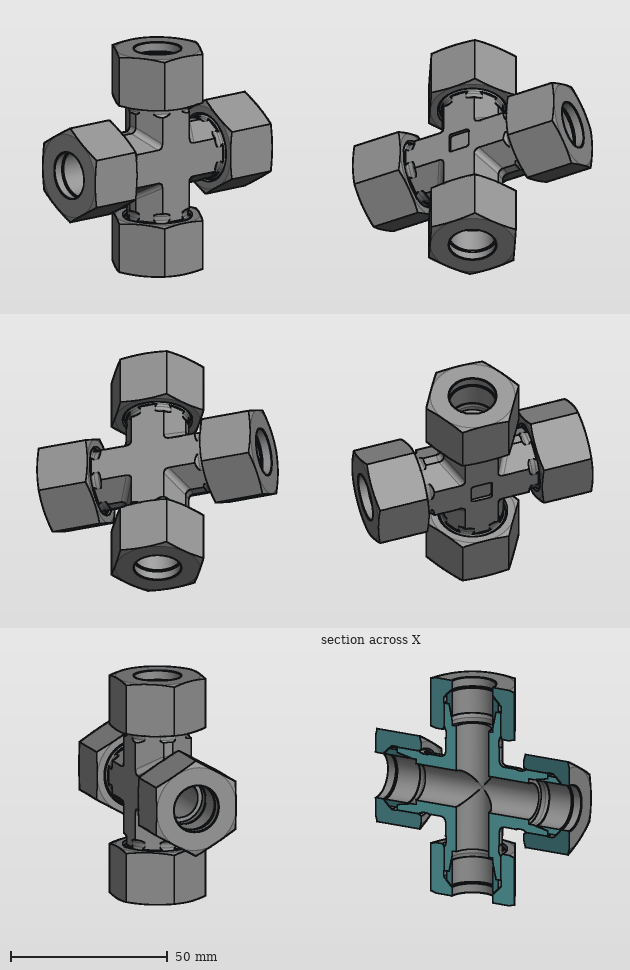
import cadquery as cq
import math

ARM_ANGLES = (0, 90, 180, 270)

TOLERANCE = 0.01

NUT_OUTER_END = 36
NUT_LENGTH = 17.0
NUT_INNER_END = NUT_OUTER_END - NUT_LENGTH
TUBE_STOP = 21.0
BODY_END = 28.0

FLOW_BORE_D = 12.0
TUBE_D = 15.0
TUBE_R = TUBE_D / 2
EDGE_BREAK = 0.2

SEAT_MOUTH_R = 17.3 / 2
SEAT_TAN = math.tan(math.radians(12))
SEAT_BOTTOM = BODY_END - (SEAT_MOUTH_R - TUBE_R) / SEAT_TAN

ARM_ACROSS_FLATS = 19.0
ARM_RIDGE_WIDTH = 20.15
ARM_FILLET = 2.0
RIDGE_FILLET = 1.7

THREAD_MAJOR_R = 22.0 / 2
THREAD_MINOR_R = 20.4 / 2
THREAD_R = (THREAD_MAJOR_R + THREAD_MINOR_R) / 2
RELIEF_R = 19.65 / 2
RELIEF_FILLET = 1.0
RELIEF_START = 16.9
RELIEF_END = 18.2
THREAD_START = NUT_INNER_END
THREAD_START_R = 20.0 / 2
THREAD_BEVEL_TAN = math.tan(math.radians(30))

RECESS_SIZE = 7.05
RECESS_CORNER_R = 1.0
RECESS_DEPTH = 1.0

NUT_ACROSS_FLATS = 27.0
NUT_CHAMFER_ANGLE = 15
NUT_MOUTH_R = 11.15
NUT_BORE_START = 33.0
NUT_CONE_START = NUT_BORE_START - (THREAD_R - TUBE_R)

RING_FRONT = 24.0
RING_SHOULDER_R = 9.7
RING_REAR_CHAMFER = 0.35


def hexagon(across_flats, start, end):
    """Hexagonal prism along Z with two of its flats facing +X and -X."""
    prism = cq.Workplane("XY").workplane(offset=start).polygon(6, across_flats, circumscribed=True)
    return prism.extrude(end - start)


def turned(points):
    """Solid of revolution about Z from (radius, height) points."""
    return cq.Workplane("XZ").polyline(points).close().revolve(360, (0, 0, 0), (0, 1, 0))


def place(arm_part, angle):
    """Turn a part made along +Z onto the arm at the given angle about X."""
    return arm_part.rotate((0, 0, 0), (1, 0, 0), angle)


def hexagonal_cross():
    """Two crossing hexagonal bars with filleted valleys between their sloping flats."""
    bar = hexagon(ARM_ACROSS_FLATS, -THREAD_START, THREAD_START)
    cross = bar.union(place(bar, 90))

    def is_valley(edge):
        middle = edge.Center()
        on_diagonal = abs(abs(middle.y) - abs(middle.z)) < TOLERANCE
        return on_diagonal and abs(middle.y) > TOLERANCE

    return cross.edges().filter(is_valley).fillet(ARM_FILLET)


def ridge_limit():
    """Plus-shaped prism along X that flattens the ridges of the hexagonal bars."""
    vertical = cq.Workplane("XY").box(ARM_ACROSS_FLATS, ARM_RIDGE_WIDTH, 2 * THREAD_START)
    plus = vertical.union(place(vertical, 90))
    half_width = ARM_RIDGE_WIDTH / 2

    def is_inner_corner(edge):
        middle = edge.Center()
        return max(abs(middle.y), abs(middle.z)) < half_width + TOLERANCE

    return plus.edges("|X").filter(is_inner_corner).fillet(RIDGE_FILLET)


def relief_cutter():
    """Ring of material turned away behind the thread, with a rounded inner side and a tapered outer side."""
    side_r = RELIEF_R + RELIEF_FILLET
    side_start = RELIEF_START - RELIEF_FILLET
    outline = (
        cq.Workplane("XZ")
        .moveTo(RELIEF_R, RELIEF_END)
        .lineTo(RELIEF_R, RELIEF_START)
        .radiusArc((side_r, side_start), -RELIEF_FILLET)
        .lineTo(THREAD_MAJOR_R, side_start)
        .lineTo(THREAD_MAJOR_R, THREAD_START)
        .lineTo(THREAD_START_R, THREAD_START)
        .close()
    )
    return outline.revolve(360, (0, 0, 0), (0, 1, 0))


def thread_end():
    """Threaded end of an arm as a plain cylinder with a slender bevel at its root."""
    bevel_length = (THREAD_R - THREAD_START_R) / THREAD_BEVEL_TAN
    return turned([
        (0, THREAD_START),
        (THREAD_START_R, THREAD_START),
        (THREAD_R, THREAD_START + bevel_length),
        (THREAD_R, BODY_END),
        (0, BODY_END),
    ])


def arm_bore():
    """Flow bore, tube socket and sealing cone of one arm."""
    return turned([
        (0, 0),
        (FLOW_BORE_D / 2, 0),
        (FLOW_BORE_D / 2, TUBE_STOP),
        (TUBE_R, TUBE_STOP),
        (TUBE_R, SEAT_BOTTOM),
        (SEAT_MOUTH_R, BODY_END),
        (0, BODY_END),
    ])


def recess_cutter():
    """Rounded square block that cuts the recess into the -X face."""
    block = cq.Workplane("XY").box(2 * RECESS_DEPTH, RECESS_SIZE, RECESS_SIZE)
    return block.edges("|X").fillet(RECESS_CORNER_R).translate((-ARM_ACROSS_FLATS / 2, 0, 0))


def make_body():
    body = hexagonal_cross().intersect(ridge_limit())
    for angle in ARM_ANGLES:
        body = body.cut(place(relief_cutter(), angle))
        body = body.union(place(thread_end(), angle))
    for angle in ARM_ANGLES:
        body = body.cut(place(arm_bore(), angle))
    return body.cut(recess_cutter())


def nut_chamfer_limit():
    """Double cone that bevels the corners of the nut at both ends."""
    face_r = NUT_ACROSS_FLATS / 2
    corner_r = NUT_ACROSS_FLATS / math.sqrt(3)
    drop = (corner_r - face_r) * math.tan(math.radians(NUT_CHAMFER_ANGLE))
    return turned([
        (0, NUT_INNER_END),
        (face_r, NUT_INNER_END),
        (corner_r, NUT_INNER_END + drop),
        (corner_r, NUT_OUTER_END - drop),
        (face_r, NUT_OUTER_END),
        (0, NUT_OUTER_END),
    ])


def nut_bore():
    """Chamfered thread bore, 45 degree pressing cone and tube hole."""
    return turned([
        (0, NUT_INNER_END),
        (NUT_MOUTH_R, NUT_INNER_END),
        (THREAD_R, NUT_INNER_END + NUT_MOUTH_R - THREAD_R),
        (THREAD_R, NUT_CONE_START),
        (TUBE_R, NUT_BORE_START),
        (TUBE_R, NUT_OUTER_END - EDGE_BREAK),
        (TUBE_R + EDGE_BREAK, NUT_OUTER_END),
        (0, NUT_OUTER_END),
    ])


def make_nut():
    nut = hexagon(NUT_ACROSS_FLATS, NUT_INNER_END, NUT_OUTER_END)
    return nut.intersect(nut_chamfer_limit()).cut(nut_bore())


def make_cutting_ring():
    """Ring wedged between the sealing cone of the body and the pressing cone of the nut."""
    front_r = TUBE_R + (RING_FRONT - SEAT_BOTTOM) * SEAT_TAN
    rear_end = NUT_BORE_START - RING_REAR_CHAMFER
    return turned([
        (TUBE_R, RING_FRONT),
        (front_r, RING_FRONT),
        (SEAT_MOUTH_R, BODY_END),
        (RING_SHOULDER_R, BODY_END),
        (RING_SHOULDER_R, NUT_BORE_START - (RING_SHOULDER_R - TUBE_R)),
        (TUBE_R + RING_REAR_CHAMFER, rear_end),
        (TUBE_R, rear_end - RING_REAR_CHAMFER),
    ])


body = make_body()
nuts = [place(make_nut(), angle) for angle in ARM_ANGLES]
cutting_rings = [place(make_cutting_ring(), angle) for angle in ARM_ANGLES]

result = cq.Compound.makeCompound([
    body.val(),
    *[nut.val() for nut in nuts],
    *[ring.val() for ring in cutting_rings],
])